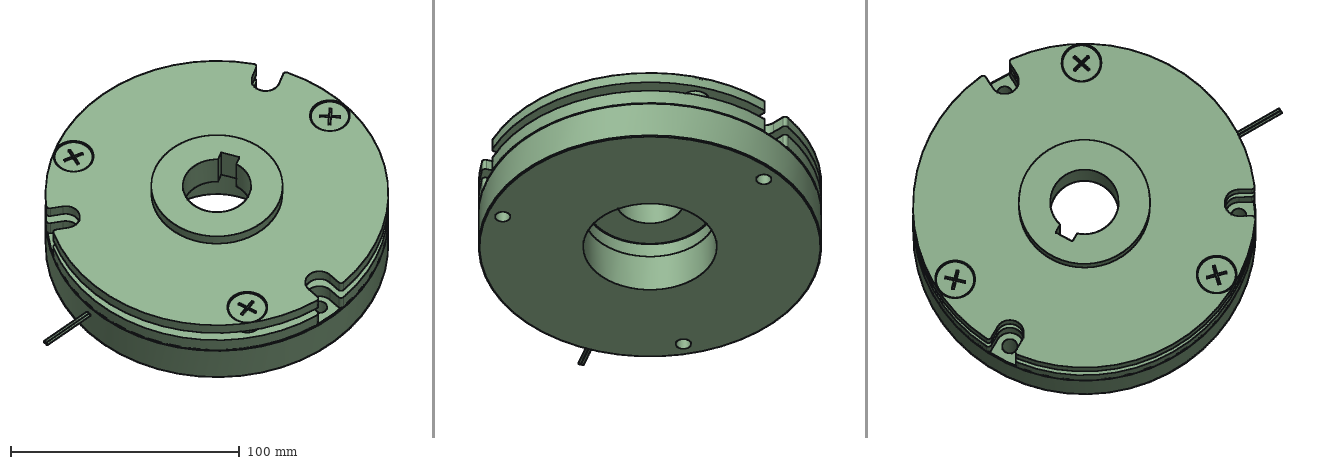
import cadquery as cq
import math


HOUSING_TOP = 19.0
ARMATURE_TOP = 26.0
ROTOR_RIM_TOP = 29.9
PLATE_BOTTOM = 30.8
PLATE_TOP = 36.2
HUB_TOP = 41.2

OUTER_RADIUS = 75.0
HOUSING_CHAMFER = 0.5
INNER_BORE_RADIUS = 29.2
ROTOR_RIM_RADIUS = 55.0
ROTOR_FACE_RADIUS = 45.5

HUB_RADIUS = 28.7
HUB_BORE_RADIUS = 15.0
KEYWAY_WIDTH = 8.5
KEYWAY_TOP = 18.5

MOUNT_ANGLES = (90, 210, 330)
MOUNT_CIRCLE_RADIUS = 67.5
MOUNT_HOLE_DIAMETER = 6.7
SLOT_WIDTH = 12.3
SLOT_CORNER_RADIUS = 1.5

TOLERANCE = 0.002

SCREW_ANGLES = (60, 180, 300)
SCREW_CIRCLE_RADIUS = 66.0
SHANK_RADIUS = 6.0
COUNTERSINK_RADIUS = 8.8
HEAD_RECESS = 0.5
CROSS_LENGTH = 9.0
CROSS_WIDTH = 1.0
CROSS_DEPTH = 2.6
CROSS_TURN = 45

WIRE_DIAMETER = 1.22
WIRE_SPACING = 1.38
WIRE_ANGLE = 240
WIRE_HEIGHT = 13.6
WIRE_START_RADIUS = 73.0
WIRE_END_RADIUS = 100.2


def disc(radius, bottom, top):
    """Plain cylinder about the Z axis between two heights."""
    return cq.Workplane("XY").workplane(offset=bottom).circle(radius).extrude(top - bottom)


def around(shape, angle):
    """Turn a shape about the Z axis."""
    return shape.rotate((0, 0, 0), (0, 0, 1), angle)


def is_slot_mouth(point):
    """Whether a point lies where a side of a slot meets the rim."""
    on_rim = math.isclose(math.hypot(point.x, point.y), OUTER_RADIUS, abs_tol=TOLERANCE)
    on_seam = abs(point.y) < TOLERANCE
    return on_rim and not on_seam


def slotted_disc(bottom, top):
    """Disc whose rim is cut by a round-ended slot over each mounting hole."""
    body = disc(OUTER_RADIUS, bottom, top)
    slot_length = OUTER_RADIUS - MOUNT_CIRCLE_RADIUS + SLOT_WIDTH
    slot = (
        cq.Workplane("XY")
        .workplane(offset=bottom)
        .center(MOUNT_CIRCLE_RADIUS, 0)
        .circle(SLOT_WIDTH / 2)
        .extrude(top - bottom)
        .union(
            cq.Workplane("XY")
            .box(slot_length, SLOT_WIDTH, top - bottom, centered=(False, True, False))
            .translate((MOUNT_CIRCLE_RADIUS, 0, bottom))
        )
    )
    for angle in MOUNT_ANGLES:
        body = body.cut(around(slot, angle))
    mouth_edges = [edge for edge in body.edges("|Z").vals() if is_slot_mouth(edge.Center())]
    return body.newObject(mouth_edges).fillet(SLOT_CORNER_RADIUS)


def make_housing():
    """Chamfered magnet housing with its bore, mounting holes and lead wires."""
    housing = (
        disc(OUTER_RADIUS, 0, HOUSING_TOP)
        .edges()
        .chamfer(HOUSING_CHAMFER)
        .cut(disc(INNER_BORE_RADIUS, 0, HOUSING_TOP))
    )
    mount_hole = disc(MOUNT_HOLE_DIAMETER / 2, 0, HOUSING_TOP).translate((MOUNT_CIRCLE_RADIUS, 0, 0))
    for angle in MOUNT_ANGLES:
        housing = housing.cut(around(mount_hole, angle))
    for side in (-1, 1):
        wire = (
            cq.Workplane("YZ")
            .workplane(offset=WIRE_START_RADIUS)
            .center(side * WIRE_SPACING / 2, WIRE_HEIGHT)
            .circle(WIRE_DIAMETER / 2)
            .extrude(WIRE_END_RADIUS - WIRE_START_RADIUS)
        )
        housing = housing.union(around(wire, WIRE_ANGLE))
    return housing


def make_armature():
    """Slotted armature plate resting on the housing."""
    return slotted_disc(HOUSING_TOP, ARMATURE_TOP).cut(
        disc(INNER_BORE_RADIUS, HOUSING_TOP, ARMATURE_TOP)
    )


def make_rotor():
    """Stepped friction rotor around the hub."""
    return (
        disc(ROTOR_RIM_RADIUS, ARMATURE_TOP, ROTOR_RIM_TOP)
        .union(disc(ROTOR_FACE_RADIUS, ROTOR_RIM_TOP, PLATE_BOTTOM))
        .cut(disc(HUB_RADIUS, ARMATURE_TOP, PLATE_BOTTOM))
    )


def make_hub():
    """Hub with a keyed bore."""
    length = HUB_TOP - ARMATURE_TOP
    keyway = (
        cq.Workplane("XY")
        .box(KEYWAY_WIDTH, KEYWAY_TOP, length, centered=(True, False, False))
        .translate((0, 0, ARMATURE_TOP))
    )
    return (
        disc(HUB_RADIUS, ARMATURE_TOP, HUB_TOP)
        .cut(disc(HUB_BORE_RADIUS, ARMATURE_TOP, HUB_TOP))
        .cut(keyway)
    )


def screw_blank(bottom, top):
    """Shank flaring as a 45 degree cone up to the plate top, kept between two heights."""
    cone_bottom = PLATE_TOP - (COUNTERSINK_RADIUS - SHANK_RADIUS)
    top_radius = SHANK_RADIUS + top - cone_bottom
    profile = [
        (0, bottom),
        (SHANK_RADIUS, bottom),
        (SHANK_RADIUS, cone_bottom),
        (top_radius, top),
        (0, top),
    ]
    return (
        cq.Workplane("XZ")
        .polyline(profile)
        .close()
        .revolve(360, (0, 0, 0), (0, 1, 0))
        .translate((SCREW_CIRCLE_RADIUS, 0, 0))
    )


def make_flange_plate():
    """Slotted flange plate with the hub opening and the countersunk screw seats."""
    plate = slotted_disc(PLATE_BOTTOM, PLATE_TOP).cut(disc(HUB_RADIUS, PLATE_BOTTOM, PLATE_TOP))
    screw_seat = screw_blank(PLATE_BOTTOM, PLATE_TOP)
    for angle in SCREW_ANGLES:
        plate = plate.cut(around(screw_seat, angle))
    return plate


def make_screw(angle):
    """Cross-head screw sunk into its seat, with a thick shank that spaces the plate off the armature."""
    head_top = PLATE_TOP - HEAD_RECESS
    screw = screw_blank(ARMATURE_TOP, head_top)
    for turn in (CROSS_TURN, CROSS_TURN + 90):
        arm = cq.Workplane("XY").box(CROSS_LENGTH, CROSS_WIDTH, CROSS_DEPTH, centered=(True, True, False))
        screw = screw.cut(around(arm, turn).translate((SCREW_CIRCLE_RADIUS, 0, head_top - CROSS_DEPTH)))
    return around(screw, angle)


housing = make_housing()
armature = make_armature()
rotor = make_rotor()
hub = make_hub()
flange_plate = make_flange_plate()
screws = [make_screw(angle).val() for angle in SCREW_ANGLES]

result = cq.Compound.makeCompound(
    [housing.val(), armature.val(), rotor.val(), hub.val(), flange_plate.val(), *screws]
)